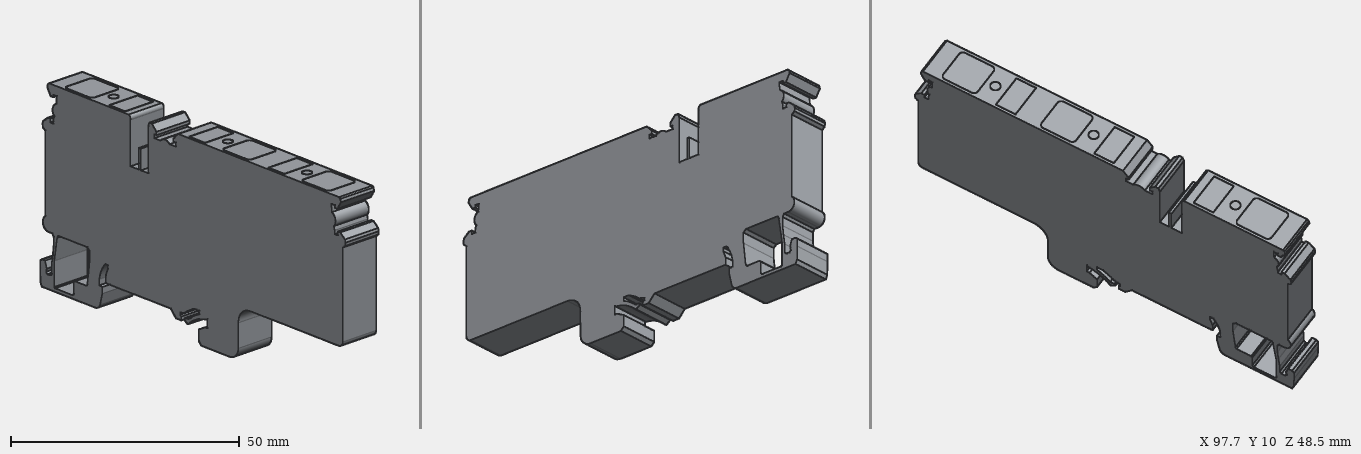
import cadquery as cq
import math


length = 97.65
width = 10.0
height = 48.5

lug_overhang = 0.85
right_wall_x = length - lug_overhang
left_wall_x = 1.6
shelf_z = 13.5
base_z = 6.75
join_z = shelf_z + 1.0
diagonal = math.sqrt(0.5)

snap_bump_inset = 2.35
snap_bump_z = 42.5

slot_left_x = 28.9
slot_right_x = 34.55
slot_floor_z = 36.5
slot_lead_in_depth = 1.0
slot_lead_in_left = 0.6
slot_lead_in_right = 0.35
fin_x = 31.9
fin_thickness = 0.65
fin_top_z = 41.6

groove_x = 39.9
groove_floor_z = 45.3
groove_half_width = 3.4
lip_half_width = 2.7
lip_under_z = 46.2
lip_upper_z = 47.0
groove_mouth_half_width = 4.15
hump_half_width = 1.5
hump_height = 0.65

recess_depth = 0.1
recess_length_y = 8.5
pad_length_x = 8.9
pad_corner_radius = 1.0
window_length_x = 5.05
test_hole_diameter = 2.3
pad_to_hole = 6.92
terminals = [(18.2, 5.6, 1), (54.7, 5.3, -1), (80.0, 5.3, -1)]

corner_radius = 1.4
bulge_x = 0.85
bulge_z = 15.4
bulge_top_z = 16.9
bulge_end_x = 2.65
rail_foot_left_x = 50.7
rail_foot_right_x = 63.4
rail_foot_z = 0.85
rail_foot_radius = 2.9
rail_foot_chamfer = 0.85
rail_foot_blend_radius = 3.75


def plane():
    """XZ work plane on the back face; extruding fills the width toward -Y."""
    return cq.Workplane("XZ", origin=(0, width / 2, 0))


def arc_middle(center, radius, x_sign, z_sign):
    """Middle point of a quarter arc lying in the given quadrant."""
    reach = radius * diagonal
    return (center[0] + x_sign * reach, center[1] + z_sign * reach)


def marker_holder_top():
    """End wall from the top face to the snap bump, as (distance inside the wall, Z)."""
    return [
        (1.25, height),
        (0.85, 48.2),
        (0.65, 47.45),
        (1.75, 45.6),
        (2.65, 45.6),
        (2.65, 46.2),
        (3.70, 46.2),
        (3.55, 44.3),
    ]


def marker_holder_bottom():
    """End wall from the snap bump past the lug, as (distance inside the wall, Z)."""
    return [
        (2.90, 41.2),
        (2.65, 40.35),
        (2.65, 39.4),
        (1.65, 39.4),
        (1.65, 40.3),
        (0.85, 40.3),
        (-0.65, 39.1),
        (-lug_overhang, 38.4),
        (-0.75, 37.6),
        (0.0, 37.0),
    ]


def on_left_wall(profile):
    """Place an end wall profile at the left wall, running downward."""
    return [(left_wall_x + inset, z) for inset, z in profile]


def on_right_wall(profile):
    """Place an end wall profile mirrored at the right wall, running upward."""
    return [(right_wall_x - inset, z) for inset, z in reversed(profile)]


def housing():
    """Upper housing with both marker holders and rounded lower corners."""
    top = marker_holder_top()
    bottom = marker_holder_bottom()
    bump = [(snap_bump_inset, snap_bump_z)]
    corner = (right_wall_x - corner_radius, shelf_z + corner_radius)
    left_bottom = on_left_wall(bottom)
    right_top = on_right_wall(top)
    return (
        plane()
        .polyline(on_left_wall(top))
        .threePointArc(on_left_wall(bump)[0], left_bottom[0])
        .polyline(left_bottom[1:], includeCurrent=True)
        .lineTo(left_wall_x, bulge_top_z)
        .threePointArc((bulge_x, bulge_z), (bulge_end_x, shelf_z))
        .lineTo(corner[0], shelf_z)
        .threePointArc(arc_middle(corner, corner_radius, 1, -1), (right_wall_x, corner[1]))
        .polyline(on_right_wall(bottom), includeCurrent=True)
        .threePointArc(on_right_wall(bump)[0], right_top[0])
        .polyline(right_top[1:], includeCurrent=True)
        .close()
        .extrude(width)
    )


def clamping_foot():
    """Springy hook below the left end that grips the rail edge."""
    return (
        plane()
        .moveTo(3.55, join_z)
        .lineTo(3.55, shelf_z)
        .lineTo(3.9, shelf_z)
        .lineTo(4.3, 12.8)
        .lineTo(4.3, 10.7)
        .lineTo(4.05, 8.4)
        .lineTo(3.7, 6.0)
        .lineTo(3.7, 3.9)
        .lineTo(3.25, 3.45)
        .lineTo(2.3, 3.45)
        .lineTo(1.9, 3.9)
        .lineTo(2.15, 4.7)
        .lineTo(1.6, 6.45)
        .lineTo(0.5, 6.45)
        .lineTo(0, 6.0)
        .lineTo(0, 4.2)
        .lineTo(0.1, 1.0)
        .lineTo(0.5, 0)
        .lineTo(17.75, 0)
        .threePointArc((18.65, 0.35), (19.2, 1.2))
        .lineTo(19.9, 4.05)
        .lineTo(19.9, 5.5)
        .lineTo(18.95, 5.65)
        .lineTo(18.95, 7.15)
        .threePointArc((19.6, 9.3), (20.8, 11.15))
        .lineTo(21.35, 11.15)
        .lineTo(21.35, join_z)
        .close()
        .extrude(width)
    )


def foot_window():
    """Opening through the clamping foot that leaves its thin spring leg."""
    return (
        plane()
        .polyline([
            (5.8, shelf_z),
            (15, shelf_z),
            (15.75, 12.85),
            (15.75, 10.3),
            (15.1, 4.75),
            (14.8, 4.35),
            (11.05, 4.35),
            (10.75, 4.05),
            (10.75, 1.25),
            (10.35, 0.85),
            (4.8, 0.85),
            (4.55, 1.1),
            (4.55, 7.3),
            (5.45, 12.9),
        ])
        .close()
        .extrude(width)
    )


def rail_base():
    """Rail seat, spring tongue and fixed rail foot below the housing."""
    foot_corner = (rail_foot_right_x - rail_foot_radius, rail_foot_z + rail_foot_radius)
    blend = (rail_foot_right_x + rail_foot_blend_radius, shelf_z - rail_foot_blend_radius)
    return (
        plane()
        .polyline([
            (20.8, join_z),
            (20.8, 11.15),
            (21.65, 11.15),
            (21.65, 10.3),
            (21, 8.6),
            (21, base_z),
            (41.75, base_z),
            (43.45, 4.95),
            (45.2, 4.95),
            (45.2, 5.9),
            (44.8, 6.2),
            (44.8, base_z),
            (46.3, 7.1),
        ])
        .threePointArc((47.65, 8.05), (49.25, 8.85))
        .lineTo(50.8, 8.85)
        .lineTo(50.8, 8.0)
        .threePointArc((48.95, 7.05), (47.35, 5.9))
        .lineTo(46.35, 5.9)
        .lineTo(46, 5.45)
        .lineTo(47.2, 4.6)
        .threePointArc((49.95, 6.55), (53.15, 7.4))
        .lineTo(53.4, 7.65)
        .lineTo(53.4, 5.5)
        .lineTo(52.65, 5.5)
        .lineTo(rail_foot_left_x, 4.45)
        .lineTo(rail_foot_left_x, rail_foot_z + rail_foot_chamfer)
        .lineTo(rail_foot_left_x + rail_foot_chamfer, rail_foot_z)
        .lineTo(foot_corner[0], rail_foot_z)
        .threePointArc(
            arc_middle(foot_corner, rail_foot_radius, 1, -1),
            (rail_foot_right_x, foot_corner[1]),
        )
        .lineTo(rail_foot_right_x, blend[1])
        .threePointArc(arc_middle(blend, rail_foot_blend_radius, -1, 1), (blend[0], shelf_z))
        .lineTo(blend[0], join_z)
        .close()
        .extrude(width)
    )


def bridge_slot():
    """Slot for a cross bridge with a rounded left and a bevelled right lead-in."""
    lead_in_z = height - slot_lead_in_depth
    lead_in_left_x = slot_left_x - slot_lead_in_left
    lead_in_middle = (
        lead_in_left_x + slot_lead_in_left * diagonal,
        lead_in_z + slot_lead_in_depth * diagonal,
    )
    return (
        plane()
        .moveTo(lead_in_left_x, height)
        .threePointArc(lead_in_middle, (slot_left_x, lead_in_z))
        .lineTo(slot_left_x, slot_floor_z)
        .lineTo(slot_right_x, slot_floor_z)
        .lineTo(slot_right_x, lead_in_z)
        .lineTo(slot_right_x + slot_lead_in_right, height)
        .close()
        .extrude(width)
    )


def slot_fin():
    """Thin contact plate standing on the floor of the bridge slot."""
    root_depth = 1.0
    fin_height = fin_top_z - slot_floor_z + root_depth
    fin_center_z = fin_top_z - fin_height / 2
    return cq.Workplane("XY").box(fin_thickness, width, fin_height).translate((fin_x, 0, fin_center_z))


def marker_groove():
    """Undercut snap groove with a rounded hump on its floor."""
    side = [
        (hump_half_width, groove_floor_z),
        (groove_half_width, groove_floor_z),
        (groove_half_width, lip_under_z),
        (lip_half_width, lip_under_z),
        (lip_half_width, lip_upper_z),
        (groove_mouth_half_width, height),
    ]
    right = [(groove_x + offset, z) for offset, z in side]
    left = [(groove_x - offset, z) for offset, z in reversed(side)]
    return (
        plane()
        .polyline(right + left)
        .threePointArc((groove_x, groove_floor_z + hump_height), right[0])
        .close()
        .extrude(width)
    )


def terminal_recesses(hole_x, window_distance, direction):
    """Shallow pad, test hole and wire window of one terminal in the top face."""
    floor = cq.Workplane("XY", origin=(0, 0, height - recess_depth))
    pad = (
        floor.center(hole_x - direction * pad_to_hole, 0)
        .rect(pad_length_x, recess_length_y)
        .extrude(recess_depth)
        .edges("|Z")
        .fillet(pad_corner_radius)
    )
    hole = floor.center(hole_x, 0).circle(test_hole_diameter / 2).extrude(recess_depth)
    window = (
        floor.center(hole_x + direction * window_distance, 0)
        .rect(window_length_x, recess_length_y)
        .extrude(recess_depth)
    )
    return pad.union(hole).union(window)


result = housing().union(clamping_foot()).union(rail_base())
result = result.cut(foot_window()).cut(bridge_slot()).cut(marker_groove())
result = result.union(slot_fin())
for hole_x, window_distance, direction in terminals:
    result = result.cut(terminal_recesses(hole_x, window_distance, direction))